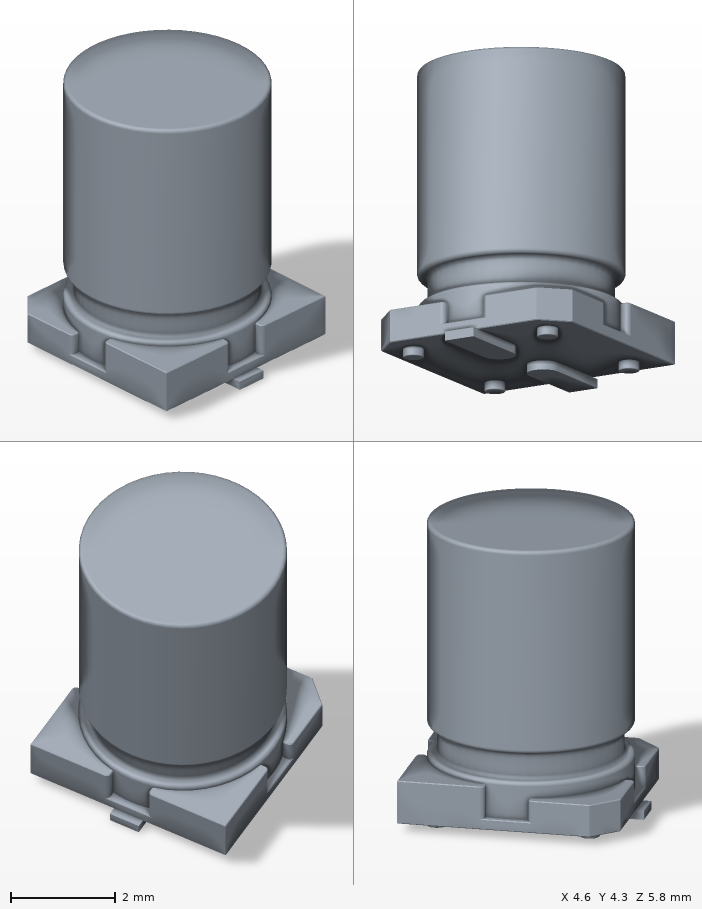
import cadquery as cq
import math

TOTAL_HEIGHT = 5.8
CAN_RADIUS = 4.0 / 2
GROOVE_RADIUS = 3.6 / 2
TOP_EDGE_RADIUS = 0.075
GROOVE_TOP = 1.705
GROOVE_BOTTOM = 1.135
GROOVE_FILLET = 0.08

STANDOFF = 0.18
BASE_WIDTH = 4.3
CORNER_CUT = 0.5
FLOOR_Z = 0.395
WALL_ROOT_Z = (STANDOFF + FLOOR_Z) / 2
LOW_WALL_Z = 0.83
HIGH_WALL_Z = 1.045
NOTCH_WIDTH = 0.865
WALL_OUTER_FILLET = 0.085
WALL_INNER_FILLET = 0.045
EDGE_BEVEL = 0.02

LEAD_SPAN = 4.6
LEAD_WIDTH = 0.64
LEAD_GAP = 1.0
PIN_DIAMETER = 0.4
PIN_OFFSET = 1.51
PIN_EDGE_RADIUS = 0.02


def make_can():
    """Revolve the can profile, rounding the rims and the groove corners."""
    profile = (
        cq.Workplane("XZ")
        .moveTo(0, FLOOR_Z)
        .lineTo(CAN_RADIUS, FLOOR_Z)
        .lineTo(CAN_RADIUS, GROOVE_BOTTOM)
        .lineTo(GROOVE_RADIUS, GROOVE_BOTTOM)
        .lineTo(GROOVE_RADIUS, GROOVE_TOP)
        .lineTo(CAN_RADIUS, GROOVE_TOP)
        .lineTo(CAN_RADIUS, TOTAL_HEIGHT)
        .lineTo(0, TOTAL_HEIGHT)
        .close()
    )
    can = profile.revolve(360, (0, 0), (0, 1))
    groove_zone = cq.selectors.BoxSelector(
        (-CAN_RADIUS, -CAN_RADIUS, GROOVE_BOTTOM - GROOVE_FILLET),
        (CAN_RADIUS, CAN_RADIUS, GROOVE_TOP + GROOVE_FILLET),
    )
    can = can.edges(groove_zone).edges("%CIRCLE").fillet(GROOVE_FILLET)
    return can.faces(">Z").edges().fillet(TOP_EDGE_RADIUS)


def base_block(bottom_z, top_z):
    """Square block with both -X corners cut off."""
    return (
        cq.Workplane("XY", origin=(0, 0, bottom_z))
        .rect(BASE_WIDTH, BASE_WIDTH)
        .extrude(top_z - bottom_z)
        .edges("|Z and <X")
        .chamfer(CORNER_CUT)
    )


def make_wall(x_side, y_side, top_z):
    """Corner wall around the can, with rounded ends beside the notches."""
    notch_edge = NOTCH_WIDTH / 2
    wall_reach = BASE_WIDTH / 2 - notch_edge
    corner_center = notch_edge + wall_reach / 2
    corner = (
        cq.Workplane("XY")
        .center(x_side * corner_center, y_side * corner_center)
        .rect(wall_reach, wall_reach)
        .extrude(TOTAL_HEIGHT)
    )
    bore = cq.Workplane("XY").circle(CAN_RADIUS).extrude(TOTAL_HEIGHT)
    wall = base_block(WALL_ROOT_Z, top_z).intersect(corner).cut(bore)

    outer = BASE_WIDTH / 2
    inner = math.sqrt(CAN_RADIUS**2 - notch_edge**2)
    for distance, radius in ((outer, WALL_OUTER_FILLET), (inner, WALL_INNER_FILLET)):
        for x, y in ((distance, notch_edge), (notch_edge, distance)):
            end_edge = cq.selectors.NearestToPointSelector(
                (x_side * x, y_side * y, (WALL_ROOT_Z + top_z) / 2)
            )
            wall = wall.edges("|Z").edges(end_edge).fillet(radius)
    return wall.faces(">Z").edges().chamfer(EDGE_BEVEL)


def make_base():
    """Bevelled plate with low walls on the -X side and high walls on the +X side."""
    base = base_block(STANDOFF, FLOOR_Z).faces("<Z or >Z").edges().chamfer(EDGE_BEVEL)
    for x_side, top_z in ((-1, LOW_WALL_Z), (1, HIGH_WALL_Z)):
        for y_side in (-1, 1):
            base = base.union(make_wall(x_side, y_side, top_z))
    return base


def make_lead(x_side):
    """Flat tab reaching out past the base, with a round inner end."""
    inner_arc_x = LEAD_GAP / 2 + LEAD_WIDTH / 2
    half_width = LEAD_WIDTH / 2
    return (
        cq.Workplane("XY")
        .moveTo(x_side * LEAD_SPAN / 2, half_width)
        .lineTo(x_side * inner_arc_x, half_width)
        .threePointArc((x_side * LEAD_GAP / 2, 0), (x_side * inner_arc_x, -half_width))
        .lineTo(x_side * LEAD_SPAN / 2, -half_width)
        .close()
        .extrude(STANDOFF)
    )


def make_pins():
    """Four round support pins in a square pattern, with softened rims."""
    return (
        cq.Workplane("XY")
        .rect(2 * PIN_OFFSET, 2 * PIN_OFFSET, forConstruction=True)
        .vertices()
        .circle(PIN_DIAMETER / 2)
        .extrude(STANDOFF)
        .edges("%CIRCLE")
        .fillet(PIN_EDGE_RADIUS)
    )


result = make_base().union(make_can()).union(make_pins())
for side in (-1, 1):
    result = result.union(make_lead(side))